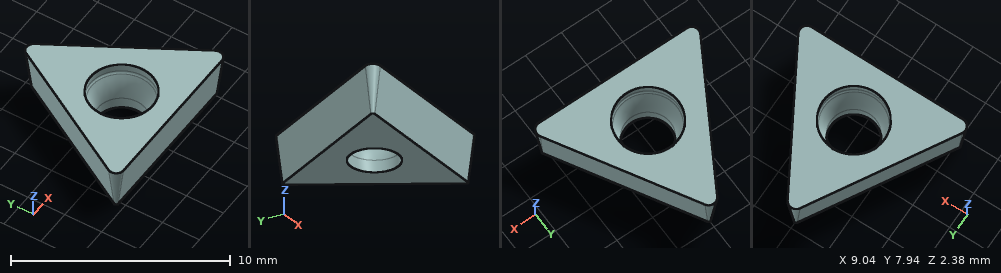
import cadquery as cq
import math

overall_width = 9.04
thickness = 2.38
corner_radius = 0.4
relief_angle = 7.0

entry_diameter = 3.36
entry_depth = 0.42
ledge_curve_radius = 0.18
ledge_sweep_angle = 50.0
bore_diameter = 2.5
seat_curve_radius = 2.2


def insert_body():
    """Rounded triangle centred on the hole axis, its top face at the full thickness."""
    corner_spacing = overall_width - 2 * corner_radius
    corner_distance = corner_spacing / math.sqrt(3)
    corner_centres = [
        (corner_distance * math.cos(math.radians(angle)), corner_distance * math.sin(math.radians(angle)))
        for angle in (90, 210, 330)
    ]
    return (
        cq.Workplane("XY", origin=(0, 0, thickness))
        .polyline(corner_centres)
        .close()
        .offset2D(corner_radius)
        .extrude(-thickness, taper=relief_angle)
    )


def screw_hole():
    """Revolved cutter with a convex seat that runs tangent into the bore."""
    entry_radius = entry_diameter / 2
    bore_radius = bore_diameter / 2
    ledge_z = thickness - entry_depth

    def ledge_point(angle):
        ledge_curve_centre = entry_radius - ledge_curve_radius
        return (
            ledge_curve_centre + ledge_curve_radius * math.cos(math.radians(angle)),
            ledge_z - ledge_curve_radius * math.sin(math.radians(angle)),
        )

    ledge_middle = ledge_point(ledge_sweep_angle / 2)
    seat_top_radius, seat_top_z = ledge_point(ledge_sweep_angle)

    curve_centre_radius = bore_radius + seat_curve_radius
    seat_height = math.sqrt(seat_curve_radius**2 - (curve_centre_radius - seat_top_radius) ** 2)
    bore_top_z = seat_top_z - seat_height
    half_angle = math.asin(seat_height / seat_curve_radius) / 2
    seat_middle = (
        curve_centre_radius - seat_curve_radius * math.cos(half_angle),
        bore_top_z + seat_curve_radius * math.sin(half_angle),
    )

    return (
        cq.Workplane("XZ")
        .moveTo(0, 0)
        .lineTo(bore_radius, 0)
        .lineTo(bore_radius, bore_top_z)
        .threePointArc(seat_middle, (seat_top_radius, seat_top_z))
        .threePointArc(ledge_middle, (entry_radius, ledge_z))
        .lineTo(entry_radius, thickness)
        .lineTo(0, thickness)
        .close()
        .revolve(360, (0, 0, 0), (0, 1, 0))
    )


result = insert_body().cut(screw_hole())